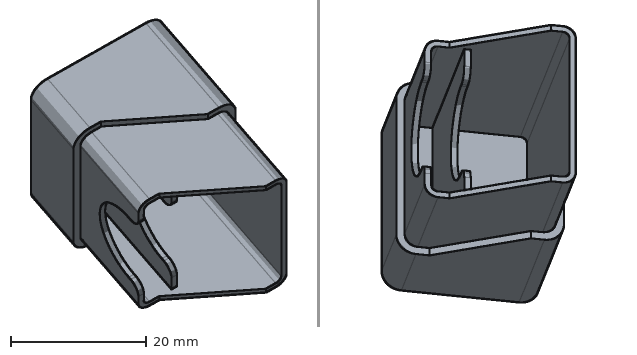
import cadquery as cq
import math

length = 33.95
body_width = 23.75
body_height = 29.25
body_corner_radius = 3.0

step = 1.25
wall = 1.0
sleeve_reach = 15.0
sleeve_width = body_width - 2 * step
sleeve_height = body_height - 2 * step
sleeve_corner_radius = 2.0
cavity_width = sleeve_width - 2 * wall
cavity_height = sleeve_height - 2 * wall
end_wall = step + wall

bend_offset = 6.85
slant_angle = 30.0
slant_run = 2 * bend_offset * math.tan(math.radians(slant_angle))
body_long_end = length - sleeve_reach
body_short_end = body_long_end - slant_run
sleeve_short_end = length - slant_run

chamber_gap = 5.0
notch_radius = 7.5
notch_depth = 10.0
lip_radius = 2.0


def rounded_bar(x_start, x_end, width, height, corner_radius):
    """Bar along X with its four long edges rounded."""
    bar = cq.Workplane("YZ").workplane(offset=x_start).rect(width, height).extrude(x_end - x_start)
    return bar.edges("|X").fillet(corner_radius)


def slanted_envelope(short_end, long_end):
    """Full-height block whose +X end steps back towards -Y along a slant."""
    half_width = body_width / 2
    outline = [
        (0, -half_width),
        (short_end, -half_width),
        (short_end, -bend_offset),
        (long_end, bend_offset),
        (long_end, half_width),
        (0, half_width),
    ]
    block = cq.Workplane("XY").workplane(offset=-body_height / 2).polyline(outline).close()
    return block.extrude(body_height)


def finger_notch(y_start, y_end):
    """Round-bottomed notch with flared lips, open towards +X."""
    centre_x = sleeve_short_end - notch_depth + notch_radius
    lip_start = sleeve_short_end - lip_radius
    lip_height = notch_radius + lip_radius
    lip_sag = lip_radius * math.sin(math.pi / 4)
    lip_mid = (lip_start + lip_sag, lip_height - lip_sag)
    outline = (
        cq.Workplane("XZ", origin=(0, y_start, 0))
        .moveTo(centre_x, notch_radius)
        .threePointArc((centre_x - notch_radius, 0), (centre_x, -notch_radius))
        .lineTo(lip_start, -notch_radius)
        .threePointArc((lip_mid[0], -lip_mid[1]), (sleeve_short_end, -lip_height))
        .lineTo(length, -lip_height)
        .lineTo(length, lip_height)
        .lineTo(sleeve_short_end, lip_height)
        .threePointArc(lip_mid, (lip_start, notch_radius))
        .close()
    )
    return outline.extrude(y_start - y_end)


body = rounded_bar(0, length, body_width, body_height, body_corner_radius)
body = body.intersect(slanted_envelope(body_short_end, body_long_end))
sleeve = rounded_bar(end_wall, length, sleeve_width, sleeve_height, sleeve_corner_radius)
sleeve = sleeve.intersect(slanted_envelope(sleeve_short_end, length))
cavity = rounded_bar(end_wall, length, cavity_width, cavity_height, sleeve_corner_radius - wall)

front_face = -sleeve_width / 2
partition_front = front_face + wall + chamber_gap
partition_back = partition_front + wall
partition = cq.Workplane("XY").box(
    sleeve_short_end - end_wall, wall, cavity_height, centered=(False, False, True)
).translate((end_wall, partition_front, 0))

result = body.union(sleeve).cut(cavity).union(partition)
result = result.cut(finger_notch(front_face, partition_back))